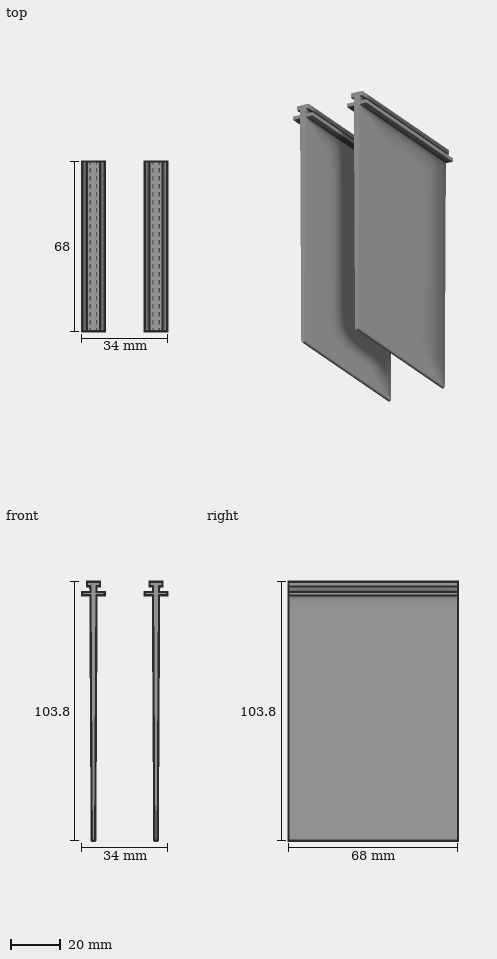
import cadquery as cq

HEIGHT = 103.8
LENGTH = 68.0
OVERALL_WIDTH = 34.0

FLANGE_WIDTH = 9.0
FLANGE_THICKNESS = 1.5
HEAD_WIDTH = 5.3
HEAD_THICKNESS = 1.9
NECK_HEIGHT = 2.2

WEB_TOP_WIDTH = 2.6
WEB_BOTTOM_WIDTH = 1.5
LOWER_EDGE_RADIUS = 0.67

PANEL_PITCH = OVERALL_WIDTH - FLANGE_WIDTH
HEAD_BOTTOM = HEIGHT - HEAD_THICKNESS
FLANGE_TOP = HEAD_BOTTOM - NECK_HEIGHT
FLANGE_BOTTOM = FLANGE_TOP - FLANGE_THICKNESS


def make_bar(width, bottom, thickness):
    """Full-length rectangular bar centred on the panel."""
    bar = cq.Workplane("XY").box(width, LENGTH, thickness, centered=(True, True, False))
    return bar.translate((0, 0, bottom))


def make_web():
    """Thin tapered wall with both lower edges rounded."""
    half_top = WEB_TOP_WIDTH / 2
    half_bottom = WEB_BOTTOM_WIDTH / 2
    outline = [
        (-half_bottom, 0),
        (half_bottom, 0),
        (half_top, HEAD_BOTTOM),
        (-half_top, HEAD_BOTTOM),
    ]
    web = cq.Workplane("XZ").polyline(outline).close().extrude(LENGTH / 2, both=True)
    return web.faces("<Z").edges("|Y").fillet(LOWER_EDGE_RADIUS)


def make_panel(x_center):
    """One panel: web, guide flange and head strip as a single solid."""
    flange = make_bar(FLANGE_WIDTH, FLANGE_BOTTOM, FLANGE_THICKNESS)
    head = make_bar(HEAD_WIDTH, HEAD_BOTTOM, HEAD_THICKNESS)
    return make_web().union(flange).union(head).translate((x_center, 0, 0))


panels = []
for side in (-1, 1):
    panels.append(make_panel(side * PANEL_PITCH / 2).val())

result = cq.Compound.makeCompound(panels)